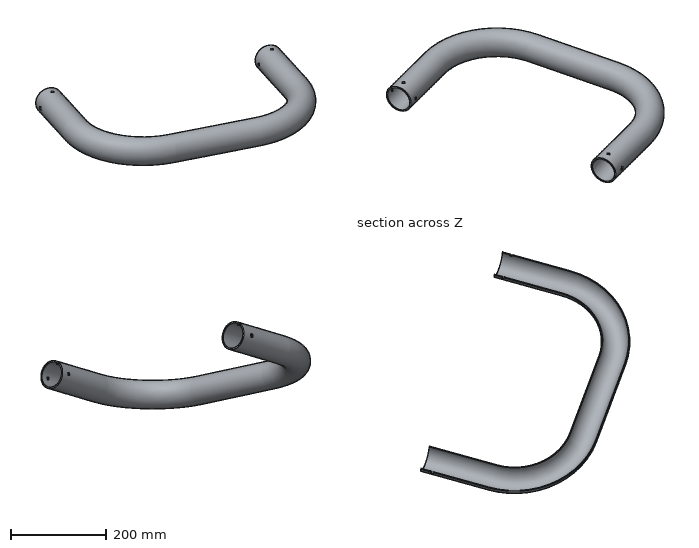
import cadquery as cq

length_x = 330.5
width_y = 560.0
tube_diameter = 60.5
wall = 3.5

back_length = 197.0
tube_radius = tube_diameter / 2
leg_y = width_y / 2 - tube_radius
back_x = length_x - tube_radius
bend_radius = leg_y - back_length / 2
leg_length = back_x - bend_radius

small_hole_diameter = 6.0
small_hole_x = 19.5

large_hole_diameter = 8.0
large_hole_x = 25.0


def swept_rod(diameter):
    """Solid rod of the given diameter along the U-shaped centreline."""
    path = (
        cq.Workplane("XY")
        .moveTo(0, -leg_y)
        .lineTo(leg_length, -leg_y)
        .tangentArcPoint((back_x, -back_length / 2), relative=False)
        .lineTo(back_x, back_length / 2)
        .tangentArcPoint((leg_length, leg_y), relative=False)
        .lineTo(0, leg_y)
    )
    return cq.Workplane("YZ").center(-leg_y, 0).circle(diameter / 2).sweep(path)


def top_holes():
    """Pins along Z that cross only the upper wall of each leg."""
    return (
        cq.Workplane("XY")
        .pushPoints([(small_hole_x, -leg_y), (small_hole_x, leg_y)])
        .circle(small_hole_diameter / 2)
        .extrude(tube_diameter)
    )


def side_pin(diameter, x, start_y, length):
    """Pin at mid height that runs from start_y toward -Y."""
    return (
        cq.Workplane("XZ", origin=(x, 0, 0))
        .workplane(offset=-start_y)
        .circle(diameter / 2)
        .extrude(length)
    )


tube = swept_rod(tube_diameter).cut(swept_rod(tube_diameter - 2 * wall))

through_pin = side_pin(small_hole_diameter, small_hole_x, leg_y + tube_diameter, 2 * tube_diameter)
outer_pin = side_pin(large_hole_diameter, large_hole_x, -leg_y, tube_diameter)

result = tube.cut(top_holes()).cut(through_pin).cut(outer_pin)